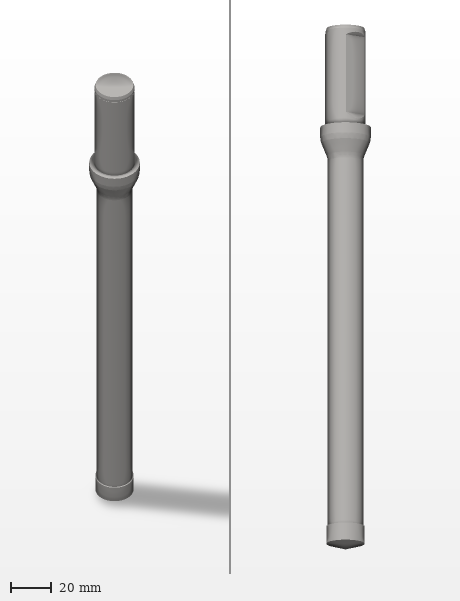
import cadquery as cq

total_length = 262.0
shank_diameter = 20.0
head_diameter = 19.6
head_face_diameter = 18.5
collar_diameter = 25.0
rod_diameter = 17.5
tip_diameter = 18.9

point_height = 3.0
tip_top = 11.5
taper_bottom = 196.8
taper_top = 205.7
collar_top = 212.2
shank_top = 259.0
chamfer_bottom = 260.5

taper_blend = 7.3

flat_depth = 1.8
flat_bottom = 218.0
flat_top = 257.0
lower_ramp_length = 3.0
upper_ramp_length = 1.5

shank_radius = shank_diameter / 2
head_radius = head_diameter / 2
head_face_radius = head_face_diameter / 2
collar_radius = collar_diameter / 2
rod_radius = rod_diameter / 2
tip_radius = tip_diameter / 2


def make_flat_cutter():
    """Prism that cuts the flat, with a sloping ramp at each end."""
    flat_y = shank_radius - flat_depth
    return (
        cq.Workplane("YZ")
        .moveTo(flat_y, flat_bottom)
        .lineTo(flat_y, flat_top)
        .lineTo(shank_radius, flat_top + upper_ramp_length)
        .lineTo(shank_radius, flat_bottom - lower_ramp_length)
        .close()
        .extrude(shank_radius, both=True)
    )


def circle_edges_at(body, radius, height):
    """Circular edges of the given radius at the given height."""
    tolerance = 0.03
    return body.edges("%CIRCLE").filter(
        lambda edge: abs(edge.Center().z - height) < tolerance
        and abs(edge.radius() - radius) < tolerance
    )


def make_punch():
    """Turned rod with a tapered collar, a flatted shank and a chamfered head."""
    turned = (
        cq.Workplane("XZ")
        .moveTo(0, tip_top)
        .lineTo(rod_radius, tip_top)
        .lineTo(rod_radius, taper_bottom)
        .lineTo(collar_radius, taper_top)
        .lineTo(collar_radius, collar_top)
        .lineTo(shank_radius, collar_top)
        .lineTo(shank_radius, shank_top)
        .lineTo(head_radius, shank_top)
        .lineTo(head_radius, chamfer_bottom)
        .lineTo(head_face_radius, total_length)
        .lineTo(0, total_length)
        .close()
        .revolve(360, (0, 0), (0, 1))
    )
    blended = circle_edges_at(turned, rod_radius, taper_bottom).fillet(taper_blend)
    blended = circle_edges_at(blended, collar_radius, taper_top).fillet(taper_blend)
    return blended.cut(make_flat_cutter())


def make_tip():
    """Short cylindrical tip that ends in a blunt cone."""
    return (
        cq.Workplane("XZ")
        .lineTo(tip_radius, point_height)
        .lineTo(tip_radius, tip_top)
        .lineTo(0, tip_top)
        .close()
        .revolve(360, (0, 0), (0, 1))
    )


punch = make_punch()
tip = make_tip()
result = cq.Compound.makeCompound([punch.val(), tip.val()])